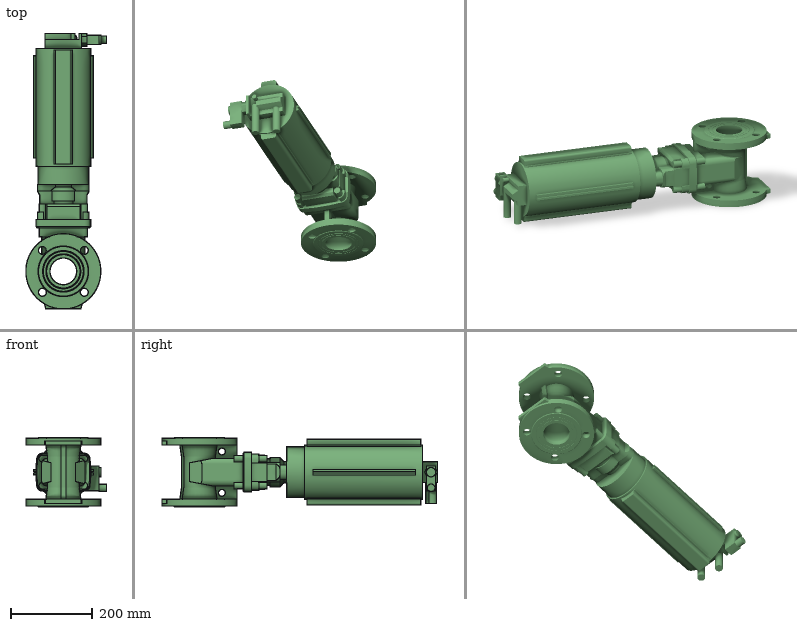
import cadquery as cq


total_width = 199.0
total_length = 677.5
total_height = 170.0

bore_dia = 65.0
pipe_rad = 39.0
pipe_flare_rad = 43.5
pipe_straight_half = 38.0
flange_dia = 185.0
flange_inner_z = 66.5
face_dia = 124.5
face_height = 1.5
flange_outer_z = total_height / 2 - face_height
face_chamfer = 1.2
seal_groove_dias = (102.0, 86.0)
seal_groove_width = 2.0
seal_groove_depth = 1.0
bolt_hole_dia = 19.0
bolt_offset = 51.5
tab_half_width = 46.0
tab_tip_half_width = 43.5
tab_root_y = -81.0
tab_thickness = 11.0

web_thickness = 12.0
web_hole_dia = 16.0
web_hole_y = 55.0
web_hole_z = 51.0
rib_middle_y = -45.0
rib_end_y = -49.0

body_half_width = 53.5
body_half_height = 34.0
body_edge_rad = 13.5
body_taper_y = 5.5
body_tip_half_width = 30.5
body_tip_half_height = 23.0
body_tip_y = -25.0
body_slope_y = 32.5

joint_bar_y = 85.0
joint_y = 107.0
joint_top_y = 128.0
post_top_y = 146.0
bonnet_top_y = 166.0
collar_end_y = 173.5
yoke_slope_y = 188.0
yoke_step_y = 197.0
cone_end_y = 207.0
adapter_y = 214.0

joint_half_x = 64.0
joint_half_z = 45.0
joint_corner_rad = 15.0
joint_plate_corner_x = 64.0
joint_plate_corner_z = 45.5
joint_plate_peak_x = 68.0
joint_plate_peak_z = 49.5
joint_plate_chamfer = 3.0
post_width = 15.0
post_depth = 22.0
screw_dia = 16.0
screw_x = 51.5
screw_z = 33.0
bonnet_core_x = 40.5
bonnet_half_x = 59.5
bonnet_half_z = 42.0
bonnet_side_z = 23.0
bonnet_chamfer = 6.0
yoke_low_x = 58.0
yoke_low_z = 24.0
yoke_low_rad = 15.5
yoke_plate_z = 17.5
yoke_plate_rad = 15.0
bulb_rad = 36.5
bulb_neck_rad = 26.5
bulb_groove_rad = 33.0

adapter_dia = 125.0
actuator_dia = 135.0
actuator_start_y = 258.0
actuator_end_y = 548.0
top_rail_start_y = 263.5
top_rail_end_y = 544.0
top_rail_half_x = 19.0
top_rail_crest_z = 81.0
top_rail_edge_rad = 5.0
top_rail_pad_half_x = 23.0
top_rail_pad_z = 66.5
side_rail_start_y = 278.5
side_rail_end_y = 530.5
side_rail_x = 74.0
side_rail_half_z = 7.0
side_groove_width = 4.0
side_groove_depth = 3.5

far_y = total_length - flange_dia / 2
box_left_x = -45.5
box_right_x = 45.0
box_half_z = 26.0
box_step_y = 570.5
roof_right_x = 18.0
roof_base_half = 14.0
roof_crest_half = 6.0
end_plate_thickness = 7.0
box_screw_dia = 11.0
box_screw_x = 24.0
box_screw_z = 19.5
gland_dia = 19.0
gland_bottom_z = -77.0
gland_places = ((-28.0, 565.0), (24.0, 573.0))

connector_y = 569.0
nut_dia = 32.0
nut_end_x = 57.5
elbow_end_x = 88.0
elbow_width = 23.0
elbow_top_z = 15.5
elbow_bottom_z = -46.0
cap_end_x = 93.0
plug_dia = 19.0
plug_z = -38.5
plug_end_x = total_width - flange_dia / 2


def block(x0, x1, y0, y1, z0, z1):
    """Box between two opposite corners."""
    return cq.Workplane("XY").box(x1 - x0, y1 - y0, z1 - z0, centered=False).translate((x0, y0, z0))


def slab(half_x, half_z, y0, y1):
    """Box centred on the actuator axis."""
    return block(-half_x, half_x, y0, y1, -half_z, half_z)


def rod_y(dia, y0, y1, x=0, z=0):
    """Cylinder along Y."""
    return cq.Workplane("XZ", origin=(x, y0, z)).circle(dia / 2).extrude(y0 - y1)


def rod_x(dia, x0, x1, y, z):
    """Cylinder along X."""
    return cq.Workplane("YZ", origin=(x0, y, z)).circle(dia / 2).extrude(x1 - x0)


def prism_yz(points, x0, x1):
    """Outline in Y and Z, extruded from x0 to x1."""
    return cq.Workplane("YZ", origin=(x0, 0, 0)).polyline(points).close().extrude(x1 - x0)


def both_sides(shape, plane):
    """Shape joined with its mirror image."""
    return shape.union(shape.mirror(plane))


def make_pipe():
    """Straight pipe that flares towards both flanges."""
    outline = [
        (0, -flange_inner_z),
        (pipe_flare_rad, -flange_inner_z),
        (pipe_rad, -pipe_straight_half),
        (pipe_rad, pipe_straight_half),
        (pipe_flare_rad, flange_inner_z),
        (0, flange_inner_z),
    ]
    return cq.Workplane("XZ").polyline(outline).close().revolve(360, (0, 0), (0, 1))


def make_upper_flange():
    """Flange with raised face, seal grooves, bolt holes and a straight tab."""
    face_z = flange_outer_z + face_height
    flange = (
        cq.Workplane("XY").workplane(offset=flange_inner_z)
        .circle(flange_dia / 2).extrude(flange_outer_z - flange_inner_z)
    )
    raised_face = (
        cq.Workplane("XY").workplane(offset=flange_outer_z)
        .circle(face_dia / 2).extrude(face_height)
        .faces(">Z").edges().chamfer(face_chamfer)
    )
    tab_tip_y = -flange_dia / 2
    tab = (
        cq.Workplane("XY").workplane(offset=flange_inner_z)
        .polyline([
            (-tab_half_width, tab_root_y),
            (-tab_tip_half_width, tab_tip_y),
            (tab_tip_half_width, tab_tip_y),
            (tab_half_width, tab_root_y),
            (0, 0),
        ])
        .close().extrude(tab_thickness)
    )
    flange = flange.union(raised_face).union(tab)
    for groove_dia in seal_groove_dias:
        groove = (
            cq.Workplane("XY").workplane(offset=face_z - seal_groove_depth)
            .circle(groove_dia / 2).circle(groove_dia / 2 - seal_groove_width)
            .extrude(seal_groove_depth)
        )
        flange = flange.cut(groove)
    bolt_holes = (
        cq.Workplane("XY").workplane(offset=flange_inner_z)
        .rect(2 * bolt_offset, 2 * bolt_offset, forConstruction=True)
        .vertices().circle(bolt_hole_dia / 2).extrude(face_z - flange_inner_z)
    )
    return flange.cut(bolt_holes)


def make_webs():
    """Drilled web on the actuator side of the pipe and a thin rib opposite."""
    half = web_thickness / 2
    web = block(-half, half, 0, flange_dia / 2, -flange_inner_z, flange_inner_z)
    for z in (-web_hole_z, web_hole_z):
        web = web.cut(rod_x(web_hole_dia, -half, half, web_hole_y, z))
    rib = prism_yz(
        [
            (0, -flange_inner_z),
            (rib_end_y, -flange_inner_z),
            (rib_middle_y, -pipe_straight_half),
            (rib_middle_y, pipe_straight_half),
            (rib_end_y, flange_inner_z),
            (0, flange_inner_z),
        ],
        -half, half,
    )
    return web.union(rib)


def make_valve_body():
    """Rounded box that tapers into the pipe."""
    block_body = slab(body_half_width, body_half_height, body_tip_y, joint_y)
    block_body = block_body.edges("|Y").fillet(body_edge_rad)
    plan = (
        cq.Workplane("XY").workplane(offset=-body_half_height)
        .polyline([
            (-body_half_width, joint_y),
            (-body_half_width, body_taper_y),
            (-body_tip_half_width, body_tip_y),
            (body_tip_half_width, body_tip_y),
            (body_half_width, body_taper_y),
            (body_half_width, joint_y),
        ])
        .close().extrude(2 * body_half_height)
    )
    side = prism_yz(
        [
            (joint_y, -body_half_height),
            (body_slope_y, -body_half_height),
            (body_tip_y, -body_tip_half_height),
            (body_tip_y, body_tip_half_height),
            (body_slope_y, body_half_height),
            (joint_y, body_half_height),
        ],
        -body_half_width, body_half_width,
    )
    return block_body.intersect(plan).intersect(side)


def make_joint_plate():
    """Plate with four bowed sides and rounded corners, chamfered on the pipe side."""
    corner_x = joint_plate_corner_x
    corner_z = joint_plate_corner_z
    return (
        cq.Workplane("XZ", origin=(0, joint_y, 0))
        .moveTo(-corner_x, corner_z)
        .threePointArc((0, joint_plate_peak_z), (corner_x, corner_z))
        .threePointArc((joint_plate_peak_x, 0), (corner_x, -corner_z))
        .threePointArc((0, -joint_plate_peak_z), (-corner_x, -corner_z))
        .threePointArc((-joint_plate_peak_x, 0), (-corner_x, corner_z))
        .close().extrude(joint_y - joint_top_y)
        .edges("|Y").fillet(joint_corner_rad)
        .faces("<Y").edges().chamfer(joint_plate_chamfer)
    )


def make_joint():
    """Joint plate with corner posts, screws and the bars below."""
    joint = make_joint_plate()
    posts = slab(joint_half_x, joint_half_z, joint_top_y, post_top_y).edges("|Y").fillet(joint_corner_rad)
    posts = posts.cut(slab(joint_half_x - post_width, joint_half_z, joint_top_y, post_top_y))
    posts = posts.cut(slab(joint_half_x, joint_half_z - post_depth, joint_top_y, post_top_y))
    joint = joint.union(posts)

    for z in (-screw_z, screw_z):
        bar = (
            cq.Workplane("XZ", origin=(0, joint_bar_y, z))
            .slot2D(2 * screw_x + screw_dia, screw_dia).extrude(joint_bar_y - joint_y)
        )
        joint = joint.union(bar)
        for x in (-screw_x, screw_x):
            joint = joint.union(rod_y(screw_dia, joint_top_y, bonnet_top_y, x, z))
    return joint


def make_yoke():
    """Bonnet, stepped yoke and the round bulb up to the actuator."""
    bonnet_front = slab(bonnet_core_x, bonnet_half_z, joint_top_y, bonnet_top_y)
    bonnet_front = bonnet_front.faces(">Y").edges("|X").chamfer(bonnet_chamfer)
    bonnet_side = slab(bonnet_half_x, bonnet_side_z, joint_top_y, bonnet_top_y)
    yoke_slope = (
        cq.Workplane("XY").workplane(offset=-yoke_low_z)
        .polyline([
            (-yoke_low_x, bonnet_top_y),
            (-yoke_low_x, yoke_slope_y),
            (-joint_half_x, yoke_step_y),
            (joint_half_x, yoke_step_y),
            (yoke_low_x, yoke_slope_y),
            (yoke_low_x, bonnet_top_y),
        ])
        .close().extrude(2 * yoke_low_z)
    )
    yoke_low = slab(joint_half_x, yoke_low_z, bonnet_top_y, yoke_step_y).edges("|Y").fillet(yoke_low_rad)
    yoke_low = yoke_low.intersect(yoke_slope)
    yoke_plate = slab(joint_half_x, yoke_plate_z, yoke_step_y, adapter_y).edges("|Y").fillet(yoke_plate_rad)
    bulb_outline = [
        (0, joint_top_y),
        (bulb_groove_rad, joint_top_y),
        (bulb_groove_rad, collar_end_y),
        (bulb_rad, collar_end_y),
        (bulb_rad, yoke_step_y),
        (bulb_neck_rad, cone_end_y),
        (bulb_neck_rad, adapter_y),
        (0, adapter_y),
    ]
    bulb = cq.Workplane("XY").polyline(bulb_outline).close().revolve(360, (0, 0), (0, 1))
    return bonnet_front.union(bonnet_side).union(yoke_low).union(yoke_plate).union(bulb)


def make_actuator():
    """Actuator cylinder with its adapter and lengthwise rails."""
    adapter = rod_y(adapter_dia, adapter_y, actuator_start_y)
    cylinder = rod_y(actuator_dia, actuator_start_y, actuator_end_y)

    top_rail = block(
        -top_rail_half_x, top_rail_half_x, top_rail_start_y, top_rail_end_y, 0, top_rail_crest_z
    ).edges("|Y and >Z").fillet(top_rail_edge_rad)
    rail_pad = block(
        -top_rail_pad_half_x, top_rail_pad_half_x, top_rail_start_y, top_rail_end_y, 0, top_rail_pad_z
    )
    top_rail = top_rail.union(rail_pad)
    side_rail = block(
        0, side_rail_x, side_rail_start_y, side_rail_end_y, -side_rail_half_z, side_rail_half_z
    )
    side_groove = block(
        side_rail_x - side_groove_depth, side_rail_x, side_rail_start_y, side_rail_end_y,
        -side_groove_width / 2, side_groove_width / 2,
    )
    side_rail = side_rail.cut(side_groove)
    actuator = adapter.union(cylinder)
    actuator = actuator.union(both_sides(top_rail, "XY"))
    return actuator.union(both_sides(side_rail, "YZ"))


def make_control_box():
    """Box with ridged roof, end plate, roof screw and two cable glands."""
    box = block(box_left_x, box_right_x, actuator_end_y, box_step_y, -box_half_z, box_half_z)
    roof = prism_yz(
        [
            (box_step_y, -roof_base_half),
            (far_y, -roof_crest_half),
            (far_y, roof_crest_half),
            (box_step_y, roof_base_half),
        ],
        box_left_x, roof_right_x,
    )
    end_plate = block(
        box_right_x - end_plate_thickness, box_right_x, actuator_end_y, far_y, -box_half_z, box_half_z
    )
    box = box.union(roof).union(end_plate)
    box = box.union(rod_y(box_screw_dia, box_step_y, far_y, box_screw_x, box_screw_z))
    for x, y in gland_places:
        gland_start = cq.Workplane("XY", origin=(x, y, gland_bottom_z))
        gland = gland_start.circle(gland_dia / 2).extrude(-gland_bottom_z)
        box = box.union(gland)
    return box


def make_connector():
    """Hexagon nut, angled housing, round cap and plug on the end plate."""
    nut = (
        cq.Workplane("YZ", origin=(box_right_x, connector_y, 0))
        .polygon(6, nut_dia).extrude(nut_end_x - box_right_x)
    )
    elbow = block(
        nut_end_x, elbow_end_x, connector_y - elbow_width / 2, connector_y + elbow_width / 2,
        elbow_bottom_z, elbow_top_z,
    )
    cap = rod_x(elbow_width, elbow_end_x, cap_end_x, connector_y, 0)
    plug = rod_x(plug_dia, elbow_end_x, plug_end_x, connector_y, plug_z)
    return nut.union(elbow).union(cap).union(plug)


bore = cq.Workplane("XY").circle(bore_dia / 2).extrude(flange_outer_z + face_height, both=True)

result = (
    make_pipe()
    .union(both_sides(make_upper_flange(), "XY"))
    .union(make_webs())
    .union(make_valve_body())
    .cut(bore)
    .union(make_joint())
    .union(make_yoke())
    .union(make_actuator())
    .union(make_control_box())
    .union(make_connector())
)